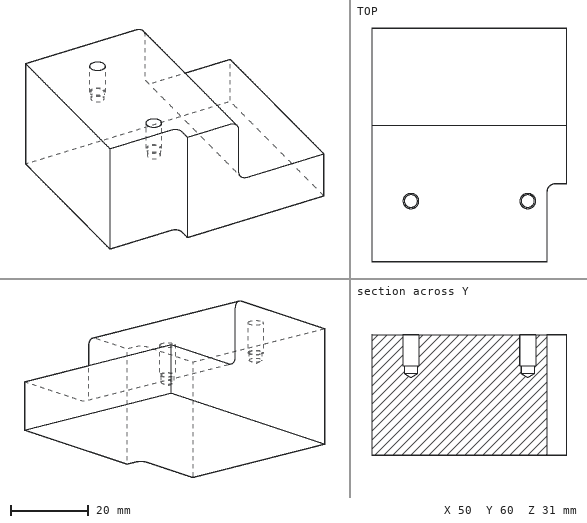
import cadquery as cq
import math

LENGTH_X = 49.95
DEPTH_Y = 60.0
HEIGHT_Z = 31.0

STEP_Y = 35.0
STEP_HEIGHT = 13.0
STEP_RADIUS = 2.5

NOTCH_X = 45.0
NOTCH_Y = 20.0
NOTCH_RADIUS = 2.0

THREAD_DIAMETER = 4.0
THREAD_DEPTH = 8.0
CORE_DIAMETER = 3.3
CORE_DEPTH = 10.0
DRILL_POINT_ANGLE = 118.0
HOLE_Y = 15.6
HOLE_X_POSITIONS = (10.0, 40.0)


def stepped_block():
    """L-shaped profile in the YZ plane, extruded along X."""
    profile = (
        cq.Workplane("YZ")
        .moveTo(0, 0)
        .lineTo(DEPTH_Y, 0)
        .lineTo(DEPTH_Y, STEP_HEIGHT)
        .lineTo(STEP_Y + STEP_RADIUS, STEP_HEIGHT)
        .radiusArc((STEP_Y, STEP_HEIGHT + STEP_RADIUS), STEP_RADIUS)
        .lineTo(STEP_Y, HEIGHT_Z - STEP_RADIUS)
        .radiusArc((STEP_Y - STEP_RADIUS, HEIGHT_Z), -STEP_RADIUS)
        .lineTo(0, HEIGHT_Z)
        .close()
    )
    return profile.extrude(LENGTH_X)


def corner_notch():
    """Full-height cutter with one rounded inner corner."""
    cutter = cq.Workplane("XY").box(LENGTH_X - NOTCH_X, NOTCH_Y, HEIGHT_Z, centered=False)
    return cutter.edges("|Z and <X and >Y").fillet(NOTCH_RADIUS).translate((NOTCH_X, 0, 0))


def tapped_hole(x, y):
    """Cutter revolved about the vertical axis through (x, y), starting at the top face."""
    thread_radius = THREAD_DIAMETER / 2
    core_radius = CORE_DIAMETER / 2
    point_length = core_radius / math.tan(math.radians(DRILL_POINT_ANGLE / 2))
    half_section = (
        cq.Workplane("XZ")
        .moveTo(0, 0)
        .lineTo(thread_radius, 0)
        .lineTo(thread_radius, -THREAD_DEPTH)
        .lineTo(core_radius, -THREAD_DEPTH)
        .lineTo(core_radius, -CORE_DEPTH)
        .lineTo(0, -CORE_DEPTH - point_length)
        .close()
    )
    return half_section.revolve(360, (0, 0, 0), (0, 1, 0)).translate((x, y, HEIGHT_Z))


result = stepped_block().cut(corner_notch())
for hole_x in HOLE_X_POSITIONS:
    result = result.cut(tapped_hole(hole_x, HOLE_Y))